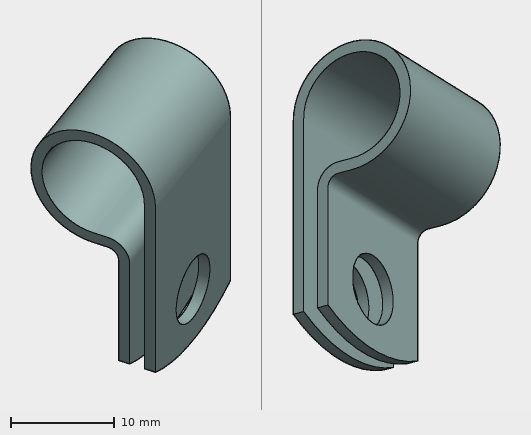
import cadquery as cq
import math

height = 28.92
width = 15.88
loop_diameter = 13.53
thickness = 1.21
leg_gap = 1.6
bend_inner_radius = 1.2
hole_diameter = 7.15
hole_height = 6.35
tip_rise = 1.74

outer_radius = loop_diameter / 2
inner_radius = outer_radius - thickness
loop_z = height - outer_radius
short_leg_right = inner_radius - leg_gap
short_leg_left = short_leg_right - thickness
bend_outer_radius = bend_inner_radius + thickness
bend_x = short_leg_left - bend_inner_radius
bend_z = loop_z - outer_radius - bend_inner_radius
diagonal = math.sqrt(0.5)


def bend_midpoint(radius):
    """Middle of the quarter bend from the loop's bottom into the short leg."""
    return (bend_x + radius * diagonal, bend_z + radius * diagonal)


def loop_midpoint(radius):
    """Middle of the three-quarter loop, at its upper left."""
    return (-radius * diagonal, loop_z + radius * diagonal)


def make_strip():
    """Bent strip: long leg, loop, bend and short leg, centred on Y."""
    return (
        cq.Workplane("XZ")
        .moveTo(outer_radius, 0)
        .lineTo(outer_radius, loop_z)
        .threePointArc(loop_midpoint(outer_radius), (0, loop_z - outer_radius))
        .lineTo(bend_x, loop_z - outer_radius)
        .threePointArc(bend_midpoint(bend_inner_radius), (short_leg_left, bend_z))
        .lineTo(short_leg_left, 0)
        .lineTo(short_leg_right, 0)
        .lineTo(short_leg_right, bend_z)
        .threePointArc(bend_midpoint(bend_outer_radius), (bend_x, loop_z - inner_radius))
        .lineTo(0, loop_z - inner_radius)
        .threePointArc(loop_midpoint(inner_radius), (inner_radius, loop_z))
        .lineTo(inner_radius, 0)
        .close()
        .extrude(width / 2, both=True)
    )


def make_side_envelope():
    """Y/Z outline with the arched tip, spanning the whole part along X."""
    return (
        cq.Workplane("YZ")
        .moveTo(-width / 2, tip_rise)
        .threePointArc((0, 0), (width / 2, tip_rise))
        .lineTo(width / 2, height)
        .lineTo(-width / 2, height)
        .close()
        .extrude(loop_diameter, both=True)
    )


def make_screw_hole():
    """Cylinder along X that passes through both legs."""
    return (
        cq.Workplane("YZ")
        .center(0, hole_height)
        .circle(hole_diameter / 2)
        .extrude(loop_diameter)
    )


result = make_strip().intersect(make_side_envelope()).cut(make_screw_hole())